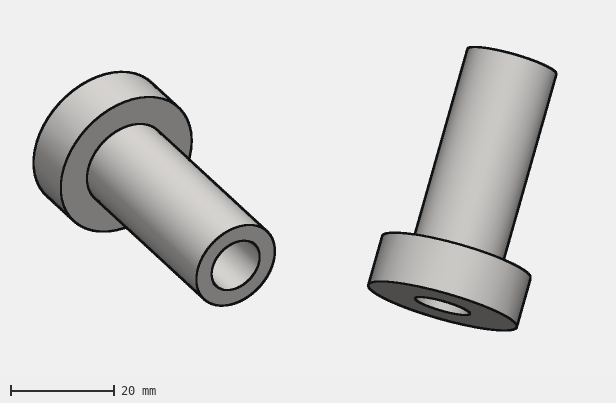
import cadquery as cq

total_length = 50.0
flange_diameter = 30.0
flange_thickness = 10.0
sleeve_diameter = 18.0
bore_diameter = 11.0


def cylinder_along_x(diameter, length):
    """Solid cylinder centred on the X axis, starting at X = 0."""
    return cq.Workplane("YZ").circle(diameter / 2).extrude(length)


flange = cylinder_along_x(flange_diameter, flange_thickness)
sleeve = cylinder_along_x(sleeve_diameter, total_length)
bore = cylinder_along_x(bore_diameter, total_length)

result = flange.union(sleeve).cut(bore)